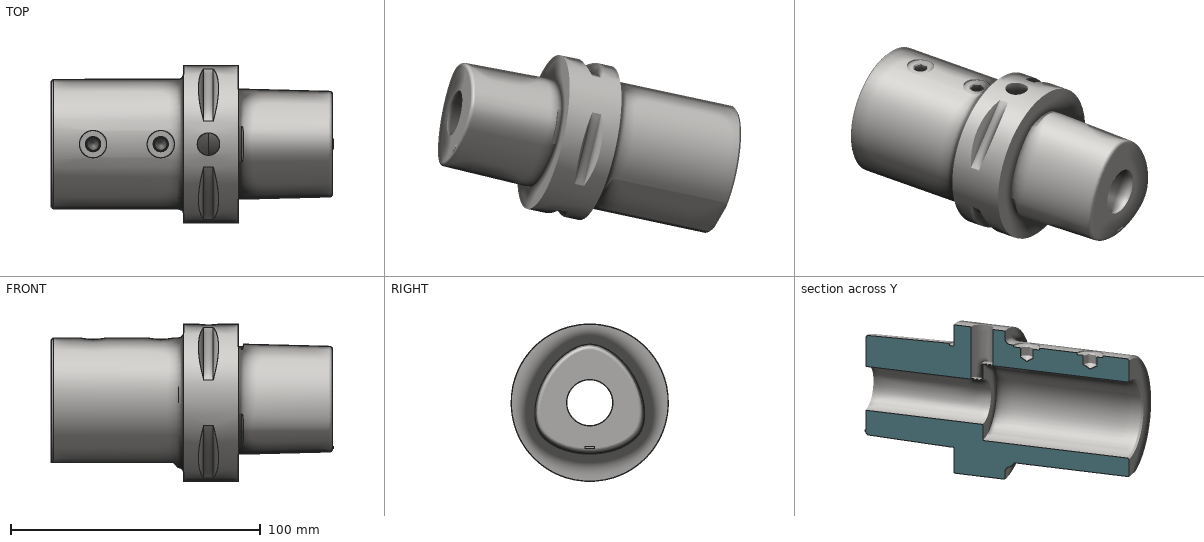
import cadquery as cq
import math


BARREL_END_X = -75.0
BARREL_DIAMETER = 52.0
BARREL_CHAMFER = 0.9
FLANGE_DIAMETER = 63.0
FLANGE_WIDTH = 22.0
BARREL_FILLET = 2.0
FLAT_DISTANCE = 24.0

BORE_DIAMETER = 32.0
MOUTH_DIAMETER = 33.0
MOUTH_DEPTH = 0.9
THROUGH_DIAMETER = 18.38

SLOT_X = -12.0
SLOT_FLOOR_DISTANCE = 27.8
SLOT_FLOOR_WIDTH = 3.8
SLOT_FLANK_ANGLE = 30.0
SLOT_ANGLES = (45, 135, 225, 315)
MARK_HOLE_DIAMETER = 9.0
MARK_FLOOR_SKIN = 0.5
BORE_END_X = SLOT_X - MARK_FLOOR_SKIN

SCREWS = ((-58.2, 0.0), (-31.1, 30.0))
SCREW_DIAMETER = 10.92
SCREW_TOP_Z = 25.2
HEX_FLATS = 5.0
HEX_DEPTH = 4.0
HEX_CORNERS = HEX_FLATS / math.cos(math.radians(30))
HEX_TIP_HALF_ANGLE = 60.0
HEX_MOUTH_DIAMETER = 6.1
HEX_MOUTH_CHAMFER = 0.4

SHANK_WIDTH = 44.0
LOBE_HEIGHT = 1.43
SECTION_POINTS = 48
SHANK_END_X = 37.7
STRAIGHT_LENGTH = 3.0
TAPER = 1 / 20
SHANK_ROUND = 1.3
RELIEF_DIAMETER = 44.9
RELIEF_WIDTH = 2.0
RELIEF_FILLET = 0.7
KEY_MARK_WIDTH = 4.0
KEY_MARK_END_X = 38.0
KEY_MARK_TOP_Z = -17.5
KEY_MARK_HEIGHT = 0.9

FLANGE_START_X = -FLANGE_WIDTH
BARREL_RADIUS = BARREL_DIAMETER / 2
FLANGE_RADIUS = FLANGE_DIAMETER / 2


def x_cylinder(diameter, start_x, end_x):
    return cq.Workplane("YZ", origin=(start_x, 0, 0)).circle(diameter / 2).extrude(end_x - start_x)


def make_body():
    """Barrel blending into the flange by a concave round."""
    fillet_sag = BARREL_FILLET * (1 - math.sqrt(0.5))
    profile = (
        cq.Workplane("XZ")
        .moveTo(BARREL_END_X, 0)
        .lineTo(BARREL_END_X, BARREL_RADIUS - BARREL_CHAMFER)
        .lineTo(BARREL_END_X + BARREL_CHAMFER, BARREL_RADIUS)
        .lineTo(FLANGE_START_X - BARREL_FILLET, BARREL_RADIUS)
        .threePointArc(
            (FLANGE_START_X - fillet_sag, BARREL_RADIUS + fillet_sag),
            (FLANGE_START_X, BARREL_RADIUS + BARREL_FILLET),
        )
        .lineTo(FLANGE_START_X, FLANGE_RADIUS)
        .lineTo(0, FLANGE_RADIUS)
        .lineTo(0, 0)
        .close()
    )
    return profile.revolve(360, (0, 0, 0), (1, 0, 0))


def make_flat_cut():
    """Flat under the barrel, running out by a 45 degree ramp at the flange."""
    ramp_top_x = FLANGE_START_X - BARREL_FILLET
    ramp_rise = BARREL_RADIUS - FLAT_DISTANCE
    return (
        cq.Workplane("XZ")
        .moveTo(BARREL_END_X, -FLAT_DISTANCE)
        .lineTo(ramp_top_x - ramp_rise, -FLAT_DISTANCE)
        .lineTo(ramp_top_x, -BARREL_RADIUS)
        .lineTo(BARREL_END_X, -BARREL_RADIUS)
        .close()
        .extrude(BARREL_RADIUS, both=True)
    )


def polygon_section(x, width):
    """Closed curve of constant width at position x, with three lobes."""

    def point(angle):
        lobe_phase = 3 * (angle - math.pi / 2)
        support = width / 2 + LOBE_HEIGHT * math.cos(lobe_phase)
        slope = -3 * LOBE_HEIGHT * math.sin(lobe_phase)
        y = support * math.cos(angle) - slope * math.sin(angle)
        z = support * math.sin(angle) + slope * math.cos(angle)
        return y, z

    points = [point(2 * math.pi * i / SECTION_POINTS) for i in range(SECTION_POINTS)]
    return cq.Workplane("YZ", origin=(x, 0, 0)).spline(points, periodic=True).close()


def make_shank():
    """Short straight polygon, then a taper with a rounded end edge."""
    straight = polygon_section(0, SHANK_WIDTH).extrude(STRAIGHT_LENGTH)
    end_width = SHANK_WIDTH - TAPER * (SHANK_END_X - STRAIGHT_LENGTH)
    big_wire = polygon_section(STRAIGHT_LENGTH, SHANK_WIDTH).wires().val()
    small_wire = polygon_section(SHANK_END_X, end_width).wires().val()
    tapered = cq.Workplane(cq.Solid.makeLoft([big_wire, small_wire], True))
    tapered = tapered.faces(">X").edges().fillet(SHANK_ROUND)
    return straight.union(tapered).cut(make_lobe_relief())


def make_lobe_relief():
    """Turned ring that trims the lobes next to the flange face."""
    ring = x_cylinder(FLANGE_DIAMETER, 0, RELIEF_WIDTH)
    core = x_cylinder(RELIEF_DIAMETER, 0, RELIEF_WIDTH)
    inner_edge = cq.selectors.RadiusNthSelector(0)
    return ring.cut(core).faces(">X").edges(inner_edge).fillet(RELIEF_FILLET)


def make_key_mark():
    """Small raised mark on the shank end, at the side opposite the upper lobe."""
    length = KEY_MARK_END_X - (SHANK_END_X - SHANK_ROUND)
    return cq.Workplane("XY").box(length, KEY_MARK_WIDTH, KEY_MARK_HEIGHT).translate(
        (KEY_MARK_END_X - length / 2, 0, KEY_MARK_TOP_Z - KEY_MARK_HEIGHT / 2)
    )


def make_slot_cut(angle):
    """Gripper slot with a flat floor and sloping flanks, turned about X."""
    depth = FLANGE_RADIUS - SLOT_FLOOR_DISTANCE
    half_floor = SLOT_FLOOR_WIDTH / 2
    half_mouth = half_floor + depth * math.tan(math.radians(SLOT_FLANK_ANGLE))
    slot = (
        cq.Workplane("XZ")
        .moveTo(SLOT_X - half_floor, SLOT_FLOOR_DISTANCE)
        .lineTo(SLOT_X + half_floor, SLOT_FLOOR_DISTANCE)
        .lineTo(SLOT_X + half_mouth, FLANGE_RADIUS)
        .lineTo(SLOT_X - half_mouth, FLANGE_RADIUS)
        .close()
        .extrude(FLANGE_RADIUS, both=True)
    )
    return slot.rotate((0, 0, 0), (1, 0, 0), angle)


def make_mark_hole():
    """Radial hole in the flange, ending just outside the stepped bore."""
    hole = cq.Workplane("XY").center(SLOT_X, 0).circle(MARK_HOLE_DIAMETER / 2).extrude(FLANGE_RADIUS)
    for diameter, start_x, end_x in (
        (BORE_DIAMETER, BARREL_END_X, SLOT_X),
        (THROUGH_DIAMETER, SLOT_X, 0),
    ):
        hole = hole.cut(x_cylinder(diameter + 2 * MARK_FLOOR_SKIN, start_x, end_x))
    return hole


def make_bores():
    """Clamping bore with a chamfered mouth, and the smaller bore through the shank."""
    bore = x_cylinder(BORE_DIAMETER, BARREL_END_X, BORE_END_X)
    through = x_cylinder(THROUGH_DIAMETER, BORE_END_X, SHANK_END_X)
    mouth = cq.Workplane(
        cq.Solid.makeCone(
            MOUTH_DIAMETER / 2,
            BORE_DIAMETER / 2,
            MOUTH_DEPTH,
            pnt=cq.Vector(BARREL_END_X, 0, 0),
            dir=cq.Vector(1, 0, 0),
        )
    )
    return bore.union(through).union(mouth)


def z_cone(x, bottom_radius, top_radius, bottom_z, height):
    return cq.Workplane(
        cq.Solid.makeCone(bottom_radius, top_radius, height, pnt=cq.Vector(x, 0, bottom_z))
    )


def make_screw_cut(x, turn):
    """Space above a sunken clamping screw, with its hexagon socket and conical socket bottom."""
    recess = (
        cq.Workplane("XY", origin=(x, 0, SCREW_TOP_Z))
        .circle(SCREW_DIAMETER / 2)
        .extrude(BARREL_RADIUS - SCREW_TOP_Z)
    )
    socket_floor_z = SCREW_TOP_Z - HEX_DEPTH
    socket = (
        cq.Workplane("XY", origin=(x, 0, socket_floor_z))
        .transformed(rotate=(0, 0, turn))
        .polygon(6, HEX_CORNERS)
        .extrude(HEX_DEPTH)
    )
    tip_height = HEX_FLATS / 2 / math.tan(math.radians(HEX_TIP_HALF_ANGLE))
    tip = z_cone(x, 0, HEX_FLATS / 2, socket_floor_z - tip_height, tip_height)
    mouth_radius = HEX_MOUTH_DIAMETER / 2
    mouth = z_cone(
        x,
        mouth_radius - HEX_MOUTH_CHAMFER,
        mouth_radius,
        SCREW_TOP_Z - HEX_MOUTH_CHAMFER,
        HEX_MOUTH_CHAMFER,
    )
    return recess.union(socket).union(tip).union(mouth)


result = make_body().cut(make_flat_cut())
result = result.union(make_shank()).union(make_key_mark())
for slot_angle in SLOT_ANGLES:
    result = result.cut(make_slot_cut(slot_angle))
result = result.cut(make_mark_hole()).cut(make_bores())
for screw_x, hex_turn in SCREWS:
    result = result.cut(make_screw_cut(screw_x, hex_turn))